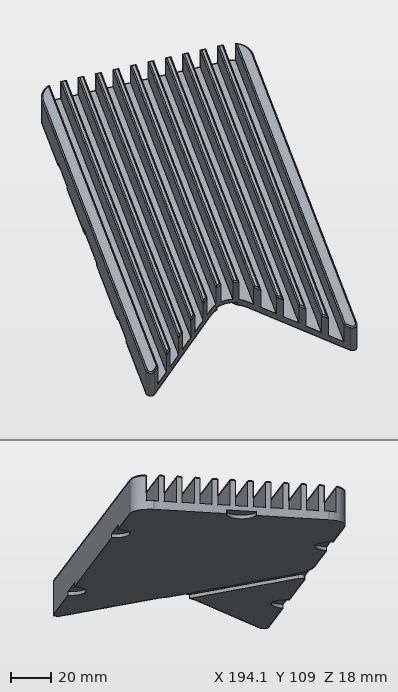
import cadquery as cq
import math

length = 194.1
width = 109.0
height = 18.0

corner_radius = 10.0
tip_radius = 2.3
vee_radius = 13.5
vee_half_angle = 45.0

floor_thickness = 4.5
side_wall = 6.5
fin_thickness = 3.0
fin_count = 10
top_chamfer = 0.68

recess_depth = 2.0
bite_diameter = 15.0
side_bite_positions = (45.6, 149.3)

channel_angle = 45.0
flare_start = 81.5
flare_radius = 20.2
channel_corner_end = 105.5
channel_corner_radius = 2.0
channel_exit = 19.5

fin_pitch = (width - 2 * side_wall + fin_thickness) / (fin_count + 1)
groove_width = fin_pitch - fin_thickness


def make_plate():
    """Solid block with the plan outline and the full height."""
    tip_angle = 90 - vee_half_angle
    sharp_tip = length - tip_radius + tip_radius / math.tan(math.radians(tip_angle / 2))
    vee_apex = sharp_tip - (width / 2) / math.tan(math.radians(vee_half_angle))
    outline = [
        (0, -width / 2),
        (sharp_tip, -width / 2),
        (vee_apex, 0),
        (sharp_tip, width / 2),
        (0, width / 2),
    ]
    block = cq.Workplane("XY").polyline(outline).close().extrude(height)
    apex_edge = cq.selectors.NearestToPointSelector((vee_apex, 0, height / 2))
    block = block.edges(apex_edge).fillet(vee_radius)
    block = block.edges("|Z and >X").fillet(tip_radius)
    return block.edges("|Z and <X").fillet(corner_radius)


def make_grooves():
    """Full-length grooves that leave the fins standing between them."""
    first_groove = -width / 2 + side_wall + groove_width / 2
    centres = [(length / 2, first_groove + i * fin_pitch) for i in range(fin_count + 1)]
    return (
        cq.Workplane("XY", origin=(0, 0, floor_thickness))
        .pushPoints(centres)
        .rect(2 * length, groove_width)
        .extrude(height)
    )


def make_bites():
    """Half-round recesses centred on the long sides and on the square end."""
    centres = [(x, side * width / 2) for x in side_bite_positions for side in (-1, 1)]
    centres.append((0, 0))
    return cq.Workplane("XY").pushPoints(centres).circle(bite_diameter / 2).extrude(recess_depth)


def make_channel():
    """Slanted channel with a wide flare on one side and a small rounded corner on the other."""
    edge = -width / 2
    angle = math.radians(channel_angle)

    def on_flare(turn):
        return (
            flare_start + flare_radius * math.sin(turn),
            edge + flare_radius * (1 - math.cos(turn)),
        )

    def on_corner(turn):
        return (
            channel_corner_end - channel_corner_radius * math.sin(turn),
            edge + channel_corner_radius * (1 - math.cos(turn)),
        )

    def at_exit(start):
        rise = channel_exit - start[1]
        return (start[0] + rise / math.tan(angle), channel_exit)

    corner_turn = math.pi - angle
    flare_end = on_flare(angle)
    corner_inner = on_corner(corner_turn)
    return (
        cq.Workplane("XY")
        .moveTo(flare_start, edge)
        .threePointArc(on_flare(angle / 2), flare_end)
        .lineTo(*at_exit(flare_end))
        .lineTo(*at_exit(corner_inner))
        .lineTo(*corner_inner)
        .threePointArc(on_corner(corner_turn / 2), on_corner(0))
        .close()
        .extrude(recess_depth)
    )


finned_plate = make_plate().cut(make_grooves())
finned_plate = finned_plate.faces(">Z").edges().chamfer(top_chamfer)
result = finned_plate.cut(make_bites()).cut(make_channel())